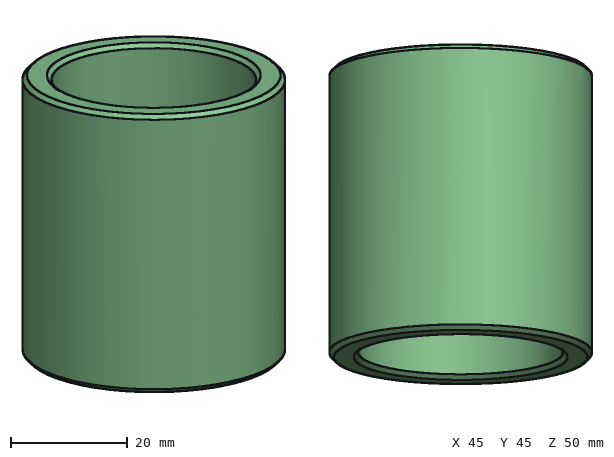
import cadquery as cq

length = 50.0
outer_diameter = 45.0
bore_diameter = 35.0
edge_chamfer = 0.8

sleeve = (
    cq.Workplane("XY")
    .circle(outer_diameter / 2)
    .circle(bore_diameter / 2)
    .extrude(length)
)

result = sleeve.faces("<Z or >Z").edges().chamfer(edge_chamfer)